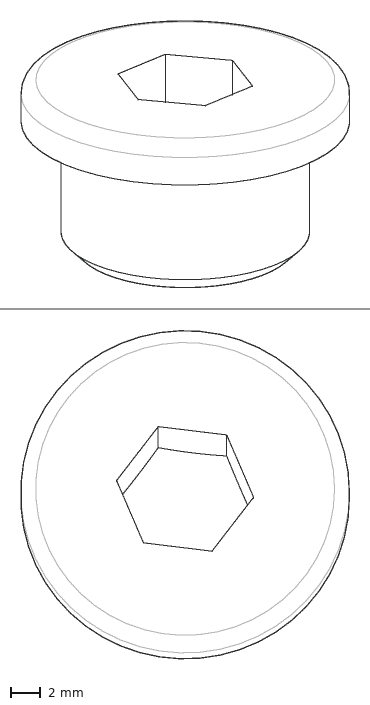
import cadquery as cq
import math


total_height = 12.0
head_diameter = 22.0
head_height = 3.0
head_fillet = 1.0
shank_diameter = 16.662
shank_chamfer = 1.0

socket_across_flats = 8.0
socket_depth = 7.0
floor_cone_angle = 120.0

socket_across_corners = socket_across_flats / math.cos(math.radians(30))
socket_corner_radius = socket_across_corners / 2
floor_cone_height = socket_corner_radius / math.tan(math.radians(floor_cone_angle / 2))


def make_shank():
    """Cylindrical shank with a chamfered lower end."""
    shank_height = total_height - head_height
    shank = cq.Workplane("XY").circle(shank_diameter / 2).extrude(shank_height)
    return shank.faces("<Z").edges().chamfer(shank_chamfer)


def make_head():
    """Disc head with a rounded upper rim."""
    head = (
        cq.Workplane("XY", origin=(0, 0, total_height - head_height))
        .circle(head_diameter / 2)
        .extrude(head_height)
    )
    return head.faces(">Z").edges().fillet(head_fillet)


def make_socket():
    """Hexagonal prism whose lower end narrows to a cone point on the axis."""
    corner_level = total_height - socket_depth
    tip_level = corner_level - floor_cone_height
    prism = (
        cq.Workplane("XY", origin=(0, 0, tip_level))
        .polygon(6, socket_across_corners)
        .extrude(total_height - tip_level)
    )
    envelope = (
        cq.Workplane("XZ")
        .moveTo(0, tip_level)
        .lineTo(socket_corner_radius, corner_level)
        .lineTo(socket_corner_radius, total_height)
        .lineTo(0, total_height)
        .close()
        .revolve(360, (0, 0, 0), (0, 1, 0))
    )
    return prism.intersect(envelope)


result = make_shank().union(make_head()).cut(make_socket())